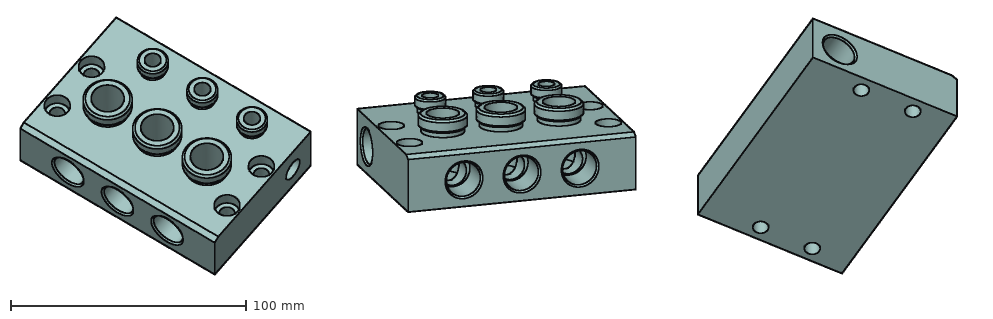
import cadquery as cq
import math

BLOCK_LENGTH = 102.0
BLOCK_WIDTH = 70.0
BLOCK_HEIGHT = 25.0
FRONT_BEVEL_HEIGHT = 1.5
FRONT_BEVEL_ANGLE = 30.0

STATION_PITCH = 26.0
STATION_OFFSETS = [-STATION_PITCH, 0.0, STATION_PITCH]

LARGE_ROW_Y = 29.0
LARGE_HEIGHT = 8.0
LARGE_COLLAR_DIAMETER = 20.95
LARGE_COLLAR_BEVEL = 1.0
LARGE_NECK_DIAMETER = 18.6
LARGE_NECK_HEIGHT = 2.0
LARGE_BORE_DIAMETER = 14.0

SMALL_ROW_Y = 57.0
SMALL_ROW_SHIFT = 3.5
SMALL_HEIGHT = 7.0
SMALL_COLLAR_DIAMETER = 13.16
SMALL_COLLAR_BEVEL = 0.8
SMALL_NECK_DIAMETER = 11.2
SMALL_NECK_HEIGHT = 2.0
SMALL_BORE_DIAMETER = 7.0

PORT_Z = 12.0
PORT_DIAMETER = 15.2
PORT_MOUTH_DIAMETER = 16.8
PORT_MOUTH_DEPTH = (PORT_MOUTH_DIAMETER - PORT_DIAMETER) / 2
PORT_DEPTH = 15.0

PASSAGE_DIAMETER = 12.0
PASSAGE_Z = 11.0
LARGE_BORE_FLOOR_Z = PASSAGE_Z - PASSAGE_DIAMETER / 2

GALLERY_DIAMETER = 10.0
DRILL_POINT_ANGLE = 118.0

MOUNT_DIAMETER = 6.7
MOUNT_HEAD_DIAMETER = 11.0
MOUNT_HEAD_DEPTH = 6.0
MOUNT_X = 44.5
MOUNT_ROWS_Y = [18.0, 43.0]


def cylinder(start, direction, diameter, length):
    """Cylinder running from a start point along a direction."""
    return cq.Workplane(
        cq.Solid.makeCylinder(diameter / 2, length, cq.Vector(*start), cq.Vector(*direction))
    )


def make_block():
    """Rectangular block with a shallow bevel along the top front edge."""
    bevel_width = FRONT_BEVEL_HEIGHT / math.tan(math.radians(FRONT_BEVEL_ANGLE))
    side_outline = [
        (0, 0),
        (BLOCK_WIDTH, 0),
        (BLOCK_WIDTH, BLOCK_HEIGHT),
        (bevel_width, BLOCK_HEIGHT),
        (0, BLOCK_HEIGHT - FRONT_BEVEL_HEIGHT),
    ]
    return cq.Workplane("YZ").polyline(side_outline).close().extrude(BLOCK_LENGTH / 2, both=True)


def make_fitting(x, y, neck_diameter, neck_height, collar_diameter, bevel, height):
    """Solid fitting standing on the block: a neck carrying a collar bevelled above and below."""
    neck_radius = neck_diameter / 2
    collar_radius = collar_diameter / 2
    rim_radius = collar_radius - bevel
    half_profile = [
        (0, 0),
        (neck_radius, 0),
        (neck_radius, neck_height),
        (rim_radius, neck_height),
        (collar_radius, neck_height + bevel),
        (collar_radius, height - bevel),
        (rim_radius, height),
        (0, height),
    ]
    fitting = cq.Workplane("XZ").polyline(half_profile).close().revolve(360, (0, 0), (0, 1))
    return fitting.translate((x, y, BLOCK_HEIGHT))


def make_port(depth):
    """Port cutter that enters along +Z from the origin, with a bevelled mouth."""
    port = cylinder((0, 0, 0), (0, 0, 1), PORT_DIAMETER, depth)
    mouth = cq.Solid.makeCone(PORT_MOUTH_DIAMETER / 2, PORT_DIAMETER / 2, PORT_MOUTH_DEPTH)
    return port.union(cq.Workplane(mouth))


def cut_large_station(body, x):
    """Large vertical bore, its front port and the passage joining them."""
    bore_height = BLOCK_HEIGHT + LARGE_HEIGHT - LARGE_BORE_FLOOR_Z
    bore = cylinder((x, LARGE_ROW_Y, LARGE_BORE_FLOOR_Z), (0, 0, 1), LARGE_BORE_DIAMETER, bore_height)
    port = make_port(PORT_DEPTH).rotate((0, 0, 0), (1, 0, 0), -90).translate((x, 0, PORT_Z))
    passage = cylinder((x, 0, PASSAGE_Z), (0, 1, 0), PASSAGE_DIAMETER, LARGE_ROW_Y)
    return body.cut(bore).cut(port).cut(passage)


def cut_small_bore(body, x):
    """Small vertical bore reaching down to the gallery axis."""
    bore_height = BLOCK_HEIGHT + SMALL_HEIGHT - PORT_Z
    return body.cut(cylinder((x, SMALL_ROW_Y, PORT_Z), (0, 0, 1), SMALL_BORE_DIAMETER, bore_height))


def cut_gallery(body):
    """Through gallery with a port on the left end that tapers down into it."""
    left_x = -BLOCK_LENGTH / 2
    gallery = cylinder((left_x, SMALL_ROW_Y, PORT_Z), (1, 0, 0), GALLERY_DIAMETER, BLOCK_LENGTH)
    port_radius = PORT_DIAMETER / 2
    gallery_radius = GALLERY_DIAMETER / 2
    taper_length = (port_radius - gallery_radius) / math.tan(math.radians(DRILL_POINT_ANGLE / 2))
    taper = cq.Solid.makeCone(port_radius, gallery_radius, taper_length)
    taper = taper.translate(cq.Vector(0, 0, PORT_DEPTH))
    port = make_port(PORT_DEPTH).union(cq.Workplane(taper))
    port = port.rotate((0, 0, 0), (0, 1, 0), 90).translate((left_x, SMALL_ROW_Y, PORT_Z))
    return body.cut(gallery).cut(port)


def cut_mounting_holes(body):
    """Vertical through holes with counterbored heads near both ends."""
    centres = [(x, y) for x in (-MOUNT_X, MOUNT_X) for y in MOUNT_ROWS_Y]
    for x, y in centres:
        head_floor_z = BLOCK_HEIGHT - MOUNT_HEAD_DEPTH
        shank = cylinder((x, y, 0), (0, 0, 1), MOUNT_DIAMETER, BLOCK_HEIGHT)
        head = cylinder((x, y, head_floor_z), (0, 0, 1), MOUNT_HEAD_DIAMETER, MOUNT_HEAD_DEPTH)
        body = body.cut(shank).cut(head)
    return body


result = make_block()
for offset in STATION_OFFSETS:
    small_x = offset + SMALL_ROW_SHIFT
    large_fitting = make_fitting(
        offset,
        LARGE_ROW_Y,
        LARGE_NECK_DIAMETER,
        LARGE_NECK_HEIGHT,
        LARGE_COLLAR_DIAMETER,
        LARGE_COLLAR_BEVEL,
        LARGE_HEIGHT,
    )
    small_fitting = make_fitting(
        small_x,
        SMALL_ROW_Y,
        SMALL_NECK_DIAMETER,
        SMALL_NECK_HEIGHT,
        SMALL_COLLAR_DIAMETER,
        SMALL_COLLAR_BEVEL,
        SMALL_HEIGHT,
    )
    result = result.union(large_fitting).union(small_fitting)
    result = cut_large_station(result, offset)
    result = cut_small_bore(result, small_x)
result = cut_gallery(result)
result = cut_mounting_holes(result)